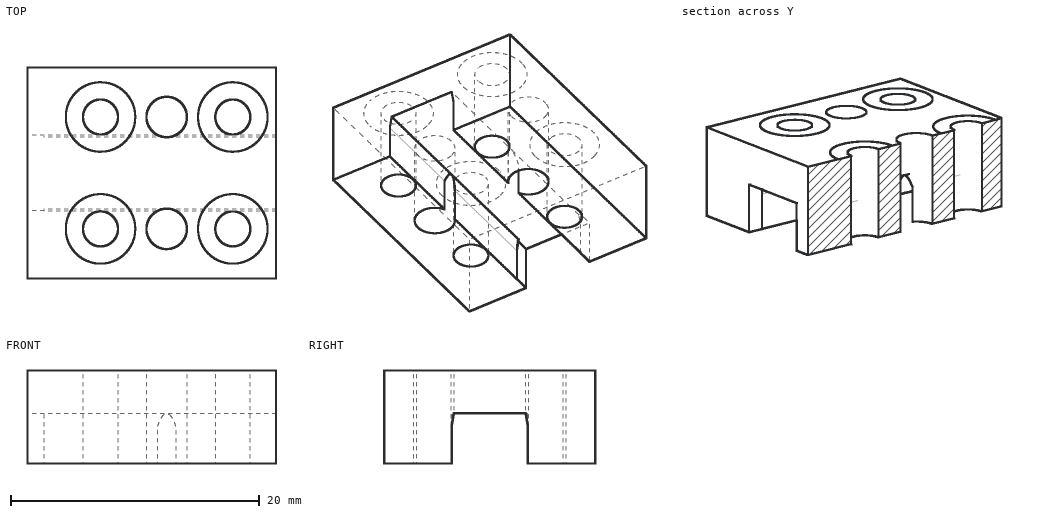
import cadquery as cq

length = 20.0
width = 17.0
height = 7.5

channel_width = 6.08
channel_depth = 4.05
mouth_length = 1.35
wall_relief = 0.02
taper_height = 1.08
taper_inset = 0.18

row_spacing = 9.0
middle_hole_x = 11.2
seat_hole_offset = 5.32
middle_hole_diameter = 3.25
seat_hole_diameter = 2.8
seat_diameter = 5.6
seat_depth = 0.01


def make_mouth():
    """Rectangular opening at the end face of the block."""
    return cq.Workplane("XY").box(
        mouth_length, channel_width, channel_depth, centered=(False, True, False)
    )


def make_relieved_channel():
    """Wider inner channel whose walls lean inward just below the roof."""
    half_width = channel_width / 2 + wall_relief
    roof_half_width = half_width - taper_inset
    taper_start = channel_depth - taper_height
    return (
        cq.Workplane("YZ", origin=(mouth_length, 0, 0))
        .moveTo(-half_width, 0)
        .lineTo(half_width, 0)
        .lineTo(half_width, taper_start)
        .lineTo(roof_half_width, channel_depth)
        .lineTo(-roof_half_width, channel_depth)
        .lineTo(-half_width, taper_start)
        .close()
        .extrude(length - mouth_length)
    )


def drill_row(body, row_y):
    """Cut one row of holes down from the top face."""
    top = cq.Workplane("XY", origin=(middle_hole_x, row_y, height))
    body = body.cut(top.circle(middle_hole_diameter / 2).extrude(-height))
    for offset in (-seat_hole_offset, seat_hole_offset):
        centre = top.center(offset, 0)
        body = body.cut(centre.circle(seat_hole_diameter / 2).extrude(-height))
        body = body.cut(centre.circle(seat_diameter / 2).extrude(-seat_depth))
    return body


result = cq.Workplane("XY").box(length, width, height, centered=(False, True, False))
result = result.cut(make_mouth()).cut(make_relieved_channel())
for side in (-1, 1):
    result = drill_row(result, side * row_spacing / 2)